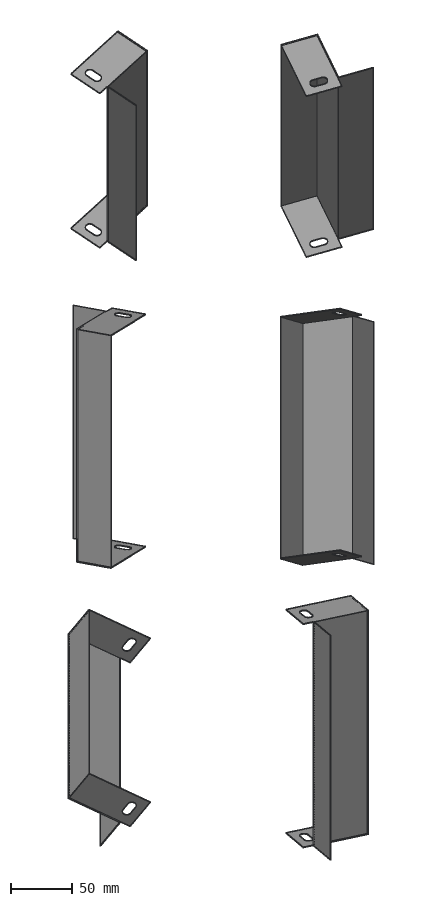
import cadquery as cq

width = 61.9
depth = 59.0
height = 201.5
sheet = 0.8
tab_width = 31.0
flange_setback = 9.0
slot_length = 15.0
slot_width = 7.3
slot_x = 15.0
slot_y = 10.9

web_outer_x = tab_width + sheet


def folded_profile():
    """Z-shaped section: back wall, web and side flange."""
    return (
        cq.Workplane("XY")
        .moveTo(0, depth)
        .lineTo(web_outer_x, depth)
        .lineTo(web_outer_x, flange_setback + sheet)
        .lineTo(width, flange_setback + sheet)
        .lineTo(width, flange_setback)
        .lineTo(tab_width, flange_setback)
        .lineTo(tab_width, depth - sheet)
        .lineTo(0, depth - sheet)
        .close()
        .extrude(height)
    )


def end_tab(bottom_z):
    """Horizontal tab with a slot, its underside at bottom_z."""
    plate = cq.Workplane("XY").box(tab_width, depth, sheet, centered=False)
    slot = cq.Workplane("XY").center(slot_x, slot_y).slot2D(slot_length, slot_width).extrude(sheet)
    return plate.cut(slot).translate((0, 0, bottom_z))


result = folded_profile()
for tab_bottom in (0, height - sheet):
    result = result.union(end_tab(tab_bottom))